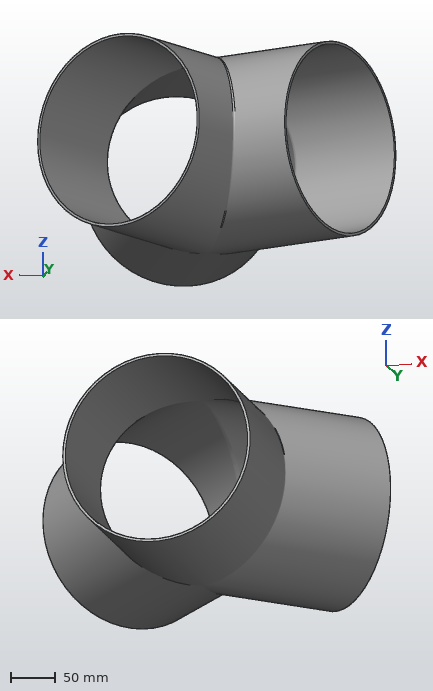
import cadquery as cq
import math

outer_diameter = 219.0
inner_diameter = 213.0
overall_width = 406.5
branch_angle = 45.0
inlet_direction = 180.0
outer_seam_radius = 1.85

wall = (outer_diameter - inner_diameter) / 2
inner_seam_radius = outer_seam_radius + wall

lean = math.radians(branch_angle)
leg_length = (overall_width - outer_diameter * math.cos(lean)) / 2 / math.sin(lean)

inlet_mitre = (inlet_direction + branch_angle) / 2
full_turn = 360


def wedge(start, end):
    """Wedge about Z that holds everything between two directions."""
    reach = 4 * leg_length
    angles = [math.radians(a) for a in (start, (start + end) / 2, end)]
    corners = [(reach * math.sin(a), reach * math.cos(a)) for a in angles]
    return (
        cq.Workplane("XY")
        .polyline([(0, 0)] + corners)
        .close()
        .extrude(outer_diameter, both=True)
    )


def mitred_leg(diameter, direction, start, end):
    """Round bar through the origin, trimmed to the wedge between its two mitres."""
    bar = (
        cq.Workplane("XZ")
        .circle(diameter / 2)
        .extrude(leg_length, both=True)
        .rotate((0, 0, 0), (0, 0, 1), -direction)
    )
    return bar.intersect(wedge(start, end))


def solid_wye(diameter, seam_radius):
    """Solid Y of three bars, with its mitred seams rounded."""
    inlet = mitred_leg(diameter, inlet_direction, inlet_mitre, full_turn - inlet_mitre)
    right_branch = mitred_leg(diameter, branch_angle, 0, inlet_mitre)
    left_branch = right_branch.mirror("YZ")
    body = inlet.union(right_branch).union(left_branch)
    return body.edges("%ELLIPSE").fillet(seam_radius)


outside = solid_wye(outer_diameter, outer_seam_radius)
bore = solid_wye(inner_diameter, inner_seam_radius)
result = outside.cut(bore).solids()